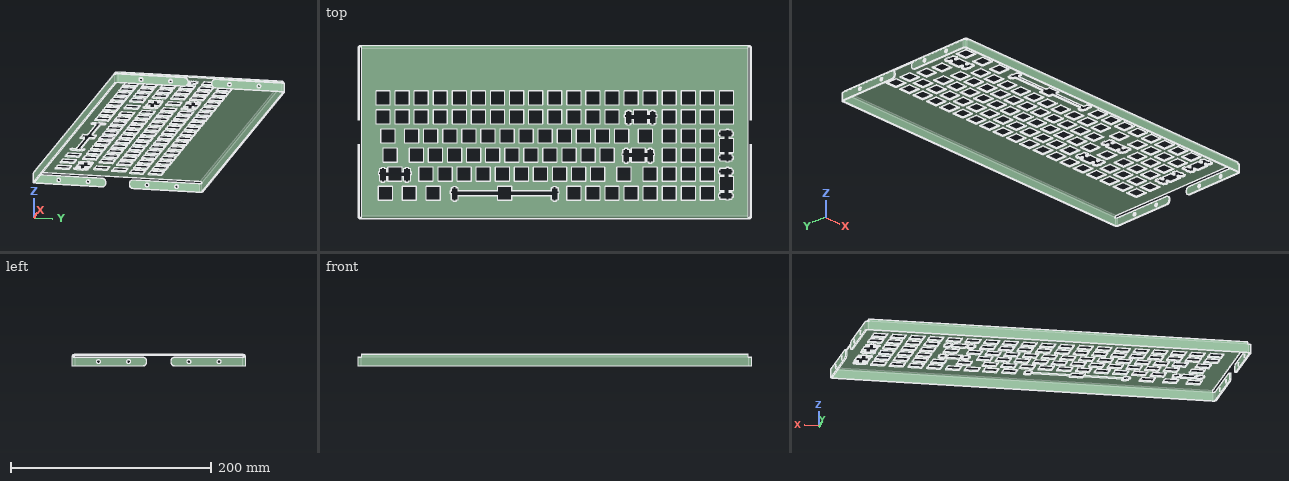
import cadquery as cq

length = 393.5
depth = 173.5
height = 11.8
thickness = 1.5
bend_radius = 2 * thickness
plate_inset = 3.5
plate_length = length - 2 * plate_inset
flange_height = height - bend_radius

flange_gap = 24.5
flange_corner_radius = 3.5
screw_hole_diameter = 3.75
inner_screw_spacing = 60.0
outer_screw_spacing = 2 * inner_screw_spacing

columns = 19
first_to_last_column = 343.0
key_pitch = first_to_last_column / (columns - 1)
first_row_y = 34.2
web_between_keys = 5.0
key_size = key_pitch - web_between_keys

wide_key_slot_spacing = 24.0
space_bar_slot_spacing = 100.0
slot_width = 6.5
slot_body_length = 12.0
slot_tab_width = 3.0
slot_tab_length = 1.0
slot_shift = 0.63
slot_notch_depth = 0.85
slot_notch_width = 2.8
slot_notch_shift = 0.9
link_width = 4.7

key_runs = [
    [(0, 19)],
    [(0, 13), (15, 4)],
    [(0.25, 1), (1.5, 12), (13.75, 1), (15, 3)],
    [(0.375, 1), (1.75, 11), (15, 3)],
    [(2.25, 10), (12.625, 1), (14, 4)],
    [(0.125, 1), (1.375, 1), (2.625, 1), (10, 8)],
]

wide_keys = [
    (13.5, 1, wide_key_slot_spacing, 0),
    (13.375, 3, wide_key_slot_spacing, 0),
    (0.625, 4, wide_key_slot_spacing, 0),
    (6.375, 5, space_bar_slot_spacing, 0),
    (18, 2.5, wide_key_slot_spacing, -90),
    (18, 4.5, wide_key_slot_spacing, -90),
]


def key_center(column, row):
    x = (column - (columns - 1) / 2) * key_pitch
    y = first_row_y - row * key_pitch
    return x, y


def cutter(x_size, y_size, x=0, y=0):
    """Block passing through the full height."""
    return cq.Workplane("XY").box(x_size, y_size, height, centered=(True, True, False)).translate((x, y, 0))


def folded_plate():
    """Top plate with its front and rear edges bent down."""
    outer = (
        cq.Workplane("XY")
        .box(plate_length, depth, height, centered=(True, True, False))
        .edges("|X and >Z")
        .fillet(bend_radius)
    )
    inner = (
        cq.Workplane("XY")
        .box(plate_length, depth - 2 * thickness, height - thickness, centered=(True, True, False))
        .edges("|X and >Z")
        .fillet(bend_radius - thickness)
    )
    return outer.cut(inner)


def wall_ring():
    """Upright walls with bent corners, running around all four sides."""
    outer = (
        cq.Workplane("XY")
        .box(length, depth, flange_height, centered=(True, True, False))
        .edges("|Z")
        .fillet(bend_radius)
    )
    inner = (
        cq.Workplane("XY")
        .box(length - 2 * thickness, depth - 2 * thickness, flange_height, centered=(True, True, False))
        .edges("|Z")
        .fillet(bend_radius - thickness)
    )
    return outer.cut(inner)


def split_end_flanges(walls):
    """Open a gap in the middle of both end walls and round the free corners."""
    walls = walls.cut(cutter(length, flange_gap))
    free_corners = cq.selectors.BoxSelector(
        (-length, -flange_gap, -height),
        (length, flange_gap, height),
    )
    return walls.edges("|X").edges(free_corners).fillet(flange_corner_radius)


def screw_holes():
    """Holes along X through both end flanges."""
    centers = []
    for spacing in (inner_screw_spacing, outer_screw_spacing):
        for side in (-1, 1):
            centers.append((side * spacing / 2, flange_height / 2))
    return (
        cq.Workplane("YZ")
        .pushPoints(centers)
        .circle(screw_hole_diameter / 2)
        .extrude(length / 2, both=True)
    )


def key_cutouts():
    centers = []
    for row, runs in enumerate(key_runs):
        for first_column, count in runs:
            for step in range(count):
                centers.append(key_center(first_column + step, row))
    return cq.Workplane("XY").pushPoints(centers).rect(key_size, key_size).extrude(height)


def wide_key_cutout(slot_spacing):
    """Key cutout at the origin, linked to a stabilizer slot on either side."""
    cutout = cutter(key_size, key_size)
    cutout = cutout.union(cutter(slot_spacing, link_width))
    slot_length = slot_body_length + 2 * slot_tab_length
    for side in (-1, 1):
        x = side * slot_spacing / 2
        cutout = cutout.union(cutter(slot_width, slot_body_length, x, -slot_shift))
        cutout = cutout.union(cutter(slot_tab_width, slot_length, x, -slot_shift))
        notch_reach = slot_width / 2 + slot_notch_depth
        notch_x = x + side * notch_reach / 2
        cutout = cutout.union(cutter(notch_reach, slot_notch_width, notch_x, slot_notch_shift))
    return cutout


walls = split_end_flanges(wall_ring()).cut(screw_holes())
plate = folded_plate().cut(key_cutouts())
for column, row, slot_spacing, rotation in wide_keys:
    x, y = key_center(column, row)
    cutout = wide_key_cutout(slot_spacing).rotate((0, 0, 0), (0, 0, 1), rotation)
    plate = plate.cut(cutout.translate((x, y, 0)))

result = plate.union(walls)